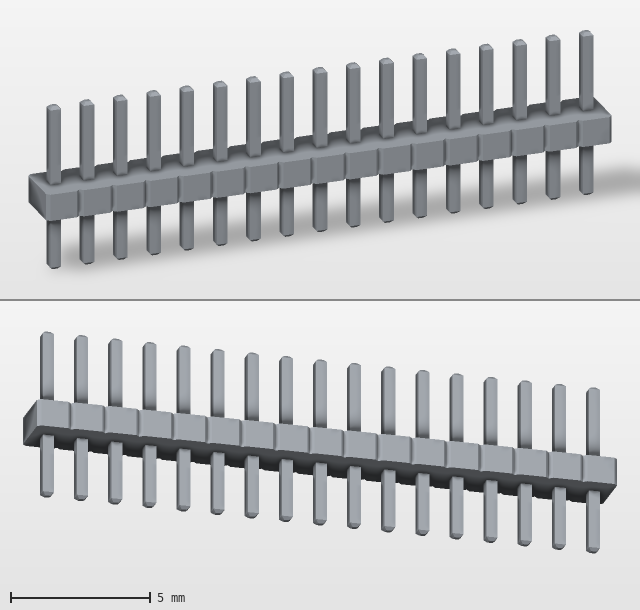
import cadquery as cq

row_length = 21.6
pin_count = 17
pitch = row_length / pin_count

body_width = 2.1
body_height = 1.01
corner_chamfer = 0.13

pin_side = 0.4
pin_above_body = 3.0
pin_below_body = 2.29
pin_tip_chamfer = 0.1
pin_length = pin_below_body + body_height + pin_above_body


def make_segment():
    """One body block with chamfered upright corners."""
    block = cq.Workplane("XY").box(body_width, pitch, body_height, centered=(True, True, False))
    return block.edges("|Z").chamfer(corner_chamfer)


def make_pin():
    """One square pin, tapered at both tips."""
    pin = cq.Workplane("XY").box(pin_side, pin_side, pin_length, centered=(True, True, False))
    pin = pin.faces("<Z or >Z").edges().chamfer(pin_tip_chamfer)
    return pin.translate((0, 0, -pin_below_body))


pin_station = make_segment().union(make_pin())
first_station_y = -(row_length - pitch) / 2

result = pin_station.translate((0, first_station_y, 0))
for index in range(1, pin_count):
    result = result.union(pin_station.translate((0, first_station_y + index * pitch, 0)))